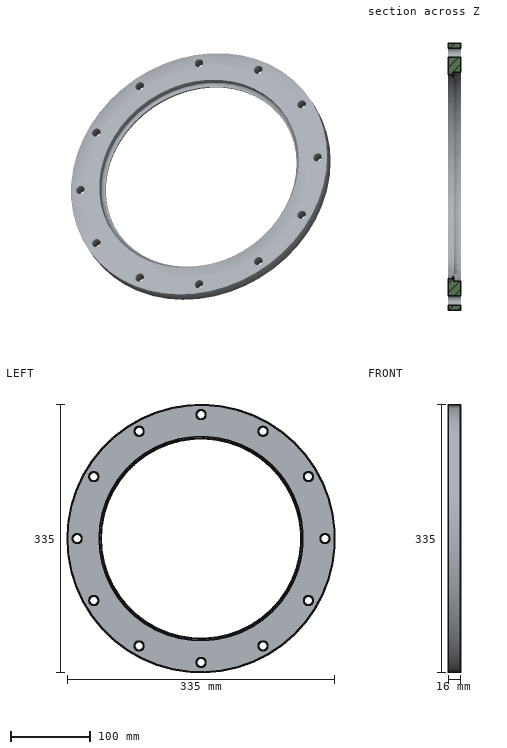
import cadquery as cq

outer_diameter = 335.0
thickness = 16.0
bore_diameter = 250.0
edge_chamfer = 0.5

front_recess_diameter = 255.0
front_recess_depth = 5.5

lip_thickness = 2.0

back_recess_diameter = 261.0
back_recess_start = front_recess_depth + lip_thickness
back_recess_depth = thickness - back_recess_start

hole_count = 12
hole_diameter = 11.0
hole_chamfer = 0.5
bolt_circle_diameter = 310.0


def disc(diameter, start, length):
    """Solid disc about the X axis, starting at a distance from the -X face."""
    plane = cq.Workplane("YZ").workplane(offset=start - thickness / 2)
    return plane.circle(diameter / 2).extrude(length)


def bolt_holes():
    """Ring of cylinders passing through the whole flange."""
    return (
        cq.Workplane("YZ")
        .workplane(offset=-thickness / 2)
        .polarArray(bolt_circle_diameter / 2, 90, 360, hole_count)
        .circle(hole_diameter / 2)
        .extrude(thickness)
    )


ring = disc(outer_diameter, 0, thickness).edges("%CIRCLE").chamfer(edge_chamfer)
ring = ring.cut(disc(bore_diameter, 0, thickness))
ring = ring.cut(disc(front_recess_diameter, 0, front_recess_depth))
ring = ring.cut(disc(back_recess_diameter, back_recess_start, back_recess_depth))

ring = ring.cut(bolt_holes())
hole_rims = ring.faces("<X").edges(cq.selectors.RadiusNthSelector(0))
result = hole_rims.chamfer(hole_chamfer)